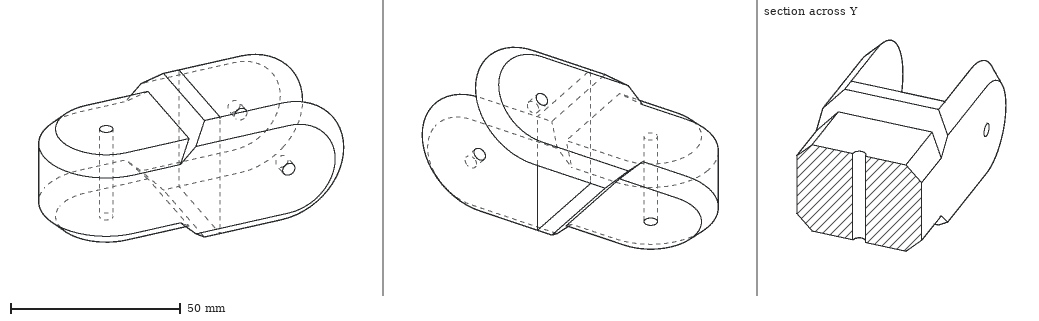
import cadquery as cq

length = 90.0
end_radius = 20.0
hole_diameter = 4.0

width = 2 * end_radius
bevel = end_radius / 4
tongue_thickness = width - 2 * bevel
gap_width = width - 2 * bevel
pivot_spacing = length - 2 * end_radius
gap_floor_y = pivot_spacing - end_radius
shoulder_y = gap_floor_y - bevel


def beveled_link(span, thickness):
    """Round-ended bar from the origin to y = span, beveled on both flat faces."""
    return (
        cq.Workplane("XY")
        .center(0, span / 2)
        .slot2D(span + width, width, 90)
        .extrude(thickness / 2, both=True)
        .faces("|Z")
        .chamfer(bevel)
    )


tongue = beveled_link(shoulder_y, tongue_thickness)

fork_bar = beveled_link(pivot_spacing, width).rotate((0, 0, 0), (0, 1, 0), 90)
taper = (
    cq.Workplane("YZ")
    .moveTo(shoulder_y - end_radius, 0)
    .lineTo(shoulder_y, end_radius)
    .lineTo(pivot_spacing + end_radius, end_radius)
    .lineTo(pivot_spacing + end_radius, -end_radius)
    .lineTo(shoulder_y, -end_radius)
    .close()
    .extrude(width / 2, both=True)
)
fork = fork_bar.intersect(taper)

gap = cq.Workplane("XY").box(gap_width, length, width).translate((0, gap_floor_y + length / 2, 0))

tongue_hole = cq.Workplane("XY").circle(hole_diameter / 2).extrude(width, both=True)
fork_hole = (
    cq.Workplane("YZ")
    .center(pivot_spacing, 0)
    .circle(hole_diameter / 2)
    .extrude(width, both=True)
)

result = tongue.union(fork).cut(gap).cut(tongue_hole).cut(fork_hole)